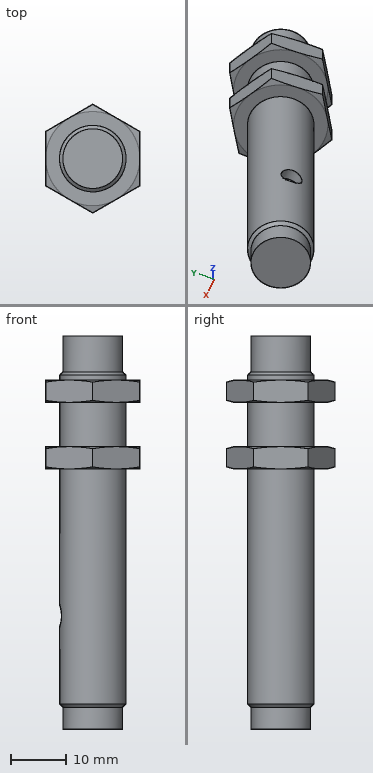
import cadquery as cq
import math

total_length = 71.0
thread_bottom = 4.0
thread_top = 64.5

thread_diameter = 12.0
end_diameter = 10.77
thread_chamfer = (thread_diameter - end_diameter) / 2

window_diameter = 4.0
window_depth = 2.0
window_height = 20.5
lamp_radius = 1.0

nut_across_flats = 17.0
nut_thickness = 4.0
nut_across_corners = nut_across_flats / math.cos(math.radians(30))
nut_chamfer_angle = 15.0
nut_bottoms = [47.0, 59.0]


def make_barrel():
    """Stepped cylinder with a chamfer at each end of its threaded length."""
    core = cq.Workplane("XY").circle(end_diameter / 2).extrude(total_length)
    thread = (
        cq.Workplane("XY", origin=(0, 0, thread_bottom))
        .circle(thread_diameter / 2)
        .extrude(thread_top - thread_bottom)
        .edges()
        .chamfer(thread_chamfer)
    )
    return core.union(thread)


def make_window():
    """Cutter for the recess, with the lamp dome left standing on the recess floor."""
    floor_x = -thread_diameter / 2 + window_depth
    recess = (
        cq.Workplane("YZ", origin=(floor_x, 0, window_height))
        .circle(window_diameter / 2)
        .extrude(-2 * window_depth)
    )
    lamp = cq.Workplane("XY", origin=(floor_x, 0, window_height)).sphere(lamp_radius)
    return recess.cut(lamp)


def make_nut(bottom):
    """Hexagon nut with corners along Y and conical chamfers on both faces."""
    corner_radius = nut_across_corners / 2
    face_radius = nut_across_flats / 2
    corner_drop = (corner_radius - face_radius) * math.tan(math.radians(nut_chamfer_angle))
    hexagon = (
        cq.Workplane("XY")
        .polygon(6, nut_across_corners)
        .extrude(nut_thickness)
        .rotate((0, 0, 0), (0, 0, 1), 90)
    )
    chamfer_envelope = (
        cq.Workplane("XZ")
        .moveTo(0, 0)
        .lineTo(face_radius, 0)
        .lineTo(corner_radius, corner_drop)
        .lineTo(corner_radius, nut_thickness - corner_drop)
        .lineTo(face_radius, nut_thickness)
        .lineTo(0, nut_thickness)
        .close()
        .revolve(360, (0, 0, 0), (0, 1, 0))
    )
    bore = cq.Workplane("XY").circle(thread_diameter / 2).extrude(nut_thickness)
    return hexagon.intersect(chamfer_envelope).cut(bore).translate((0, 0, bottom))


barrel = make_barrel().cut(make_window())
nuts = [make_nut(bottom) for bottom in nut_bottoms]

result = cq.Compound.makeCompound([barrel.val(), *[nut.val() for nut in nuts]])